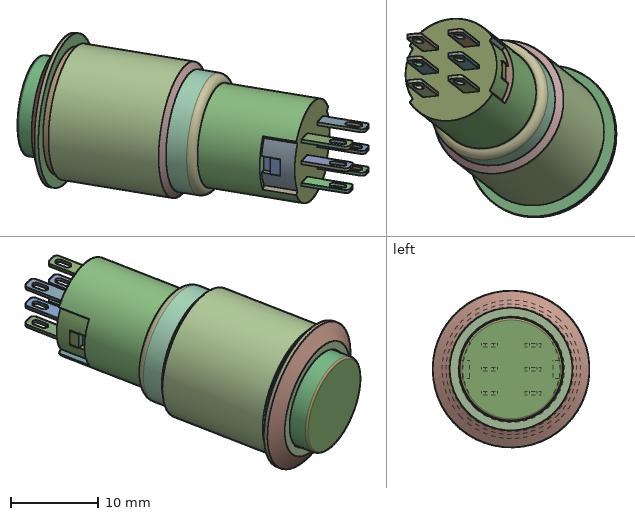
import cadquery as cq
import math


TOTAL_LENGTH = 39.85
FLANGE_FRONT = 2.27
FLANGE_RIM_START = 3.4
FLANGE_BACK = 3.85
BARREL_START = 4.7
BARREL_CHAMFER_START = 18.25
COLLAR_START = 18.85
COLLAR_END = 22.3
RECESS_START = 29.95
REAR_FACE = 34.07

BUTTON_DIAMETER = 11.8
BORE_DIAMETER = 12.0
FLANGE_FACE_DIAMETER = 14.05
FLANGE_DIAMETER = 18.0
NECK_DIAMETER = 15.0
BARREL_DIAMETER = 15.9
COLLAR_DIAMETER = 14.3
REAR_DIAMETER = 12.2
RECESS_FLOOR_DIAMETER = 11.15

BUTTON_FILLET = 0.25
COLLAR_FILLET = 0.95

BORE_FLOOR = FLANGE_BACK

RECESS_FLOOR_HALF_HEIGHT = 3.0
RECESS_MOUTH_HALF_HEIGHT = 3.4

LATCH_HEIGHT = 2.07
LATCH_POCKET_LENGTH = 1.08
LATCH_POCKET_DEPTH = 0.8
LATCH_PAD_LENGTH = 1.25

TERMINAL_WIDTH = 1.85
TERMINAL_THICKNESS = 0.4
TERMINAL_CORNER_RADIUS = 0.5
TERMINAL_ROW_Y = 2.5
TERMINAL_PITCH_Z = 2.75
EYELET_LENGTH = 2.0
EYELET_WIDTH = 0.88
EYELET_TO_TIP = 0.65


def disc(start, end, diameter):
    """Solid cylinder along X between two stations."""
    return cq.Workplane("YZ", origin=(start, 0, 0)).circle(diameter / 2).extrude(end - start)


def make_button():
    button = disc(0, BORE_FLOOR, BUTTON_DIAMETER)
    return button.faces("<X").edges().fillet(BUTTON_FILLET)


def make_turned_shell():
    """Flange, neck, barrel, collar and rear cylinder, with the bore for the button."""
    flange_radius = FLANGE_DIAMETER / 2
    neck_radius = NECK_DIAMETER / 2
    barrel_radius = BARREL_DIAMETER / 2
    collar_radius = COLLAR_DIAMETER / 2
    rear_radius = REAR_DIAMETER / 2
    fillet_diagonal = COLLAR_FILLET * math.sqrt(0.5)
    fillet_center_x = COLLAR_END - COLLAR_FILLET
    fillet_center_radius = collar_radius - COLLAR_FILLET
    profile = (
        cq.Workplane("XY")
        .moveTo(FLANGE_FRONT, 0)
        .lineTo(FLANGE_FRONT, FLANGE_FACE_DIAMETER / 2)
        .lineTo(FLANGE_RIM_START, flange_radius)
        .lineTo(FLANGE_BACK, flange_radius)
        .lineTo(FLANGE_BACK, neck_radius)
        .lineTo(BARREL_START, neck_radius)
        .lineTo(BARREL_START, barrel_radius)
        .lineTo(BARREL_CHAMFER_START, barrel_radius)
        .lineTo(COLLAR_START, collar_radius)
        .lineTo(fillet_center_x, collar_radius)
        .threePointArc(
            (fillet_center_x + fillet_diagonal, fillet_center_radius + fillet_diagonal),
            (COLLAR_END, fillet_center_radius),
        )
        .lineTo(COLLAR_END, rear_radius)
        .lineTo(REAR_FACE, rear_radius)
        .lineTo(REAR_FACE, 0)
        .close()
    )
    shell = profile.revolve(360, (0, 0, 0), (1, 0, 0))
    return shell.cut(disc(FLANGE_FRONT, BORE_FLOOR, BORE_DIAMETER))


def make_recess_cutter(side):
    """Flared wedge outside the recess floor cylinder; side is -1 or +1 along Y."""
    floor_radius = RECESS_FLOOR_DIAMETER / 2
    mouth_radius = REAR_DIAMETER / 2
    floor_y = math.sqrt(floor_radius**2 - RECESS_FLOOR_HALF_HEIGHT**2)
    mouth_y = math.sqrt(mouth_radius**2 - RECESS_MOUTH_HALF_HEIGHT**2)
    flare = (RECESS_MOUTH_HALF_HEIGHT - RECESS_FLOOR_HALF_HEIGHT) / (mouth_y - floor_y)
    outer_y = mouth_radius
    outer_z = RECESS_FLOOR_HALF_HEIGHT + flare * (outer_y - floor_y)
    wedge = (
        cq.Workplane("YZ", origin=(RECESS_START, 0, 0))
        .polyline([
            (side * floor_y, -RECESS_FLOOR_HALF_HEIGHT),
            (side * outer_y, -outer_z),
            (side * outer_y, outer_z),
            (side * floor_y, RECESS_FLOOR_HALF_HEIGHT),
        ])
        .close()
        .extrude(REAR_FACE - RECESS_START)
    )
    return wedge.cut(disc(RECESS_START, REAR_FACE, RECESS_FLOOR_DIAMETER))


def make_latch_block(start, length, side):
    """Block from below the recess floor out to its crown."""
    center_y = side * (RECESS_FLOOR_DIAMETER - LATCH_POCKET_DEPTH) / 2
    return (
        cq.Workplane("XY", origin=(start + length / 2, center_y, 0))
        .box(length, LATCH_POCKET_DEPTH, LATCH_HEIGHT)
    )


def make_terminal(y, z):
    """Flat tab with rounded tip corners and a slotted eyelet, standing on the rear face."""
    length = TOTAL_LENGTH - REAR_FACE
    eyelet_x = TOTAL_LENGTH - EYELET_TO_TIP - EYELET_LENGTH / 2
    tab = (
        cq.Workplane("XY", origin=(REAR_FACE + length / 2, y, z))
        .box(length, TERMINAL_WIDTH, TERMINAL_THICKNESS)
        .edges("|Z and >X")
        .fillet(TERMINAL_CORNER_RADIUS)
    )
    eyelet = (
        cq.Workplane("XY", origin=(eyelet_x, y, z))
        .slot2D(EYELET_LENGTH, EYELET_WIDTH)
        .extrude(TERMINAL_THICKNESS, both=True)
    )
    return tab.cut(eyelet)


def make_housing():
    housing = make_turned_shell()
    pad_start = RECESS_START + LATCH_POCKET_LENGTH
    for side in (-1, 1):
        housing = housing.cut(make_recess_cutter(side))
        housing = housing.cut(make_latch_block(RECESS_START, LATCH_POCKET_LENGTH, side))
        housing = housing.union(make_latch_block(pad_start, LATCH_PAD_LENGTH, side))
        for row in (-1, 0, 1):
            housing = housing.union(make_terminal(side * TERMINAL_ROW_Y, row * TERMINAL_PITCH_Z))
    return housing


button = make_button()
housing = make_housing()

result = cq.Compound.makeCompound([housing.val(), button.val()])